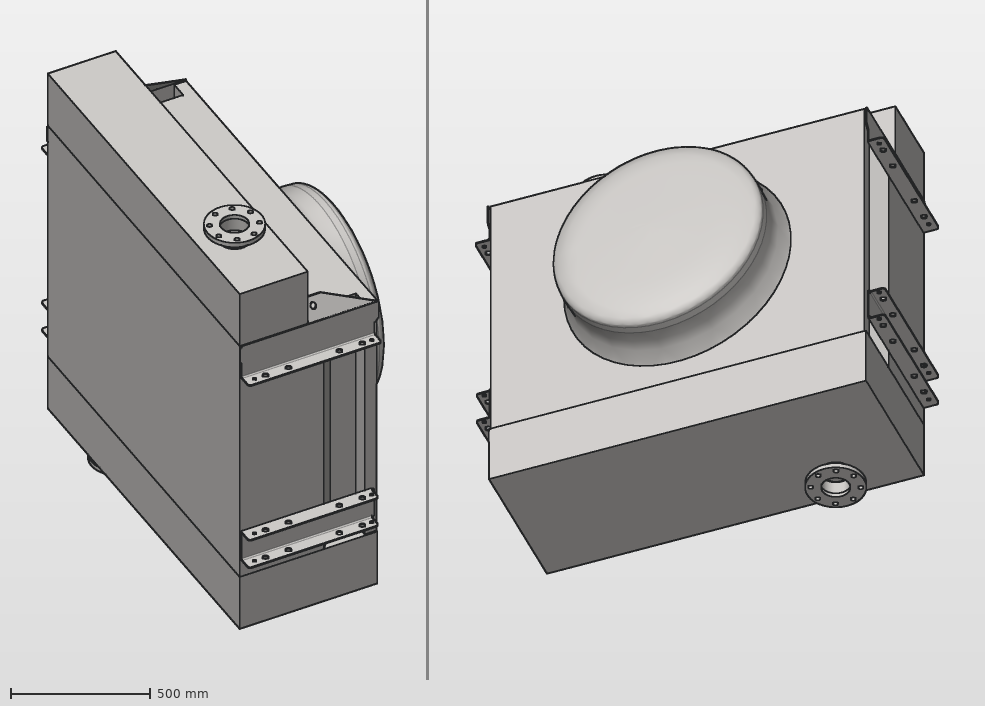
import cadquery as cq

total_height = 1670.0
body_width = 1458.0
body_depth = 561.0
middle_height = total_height / 2

pipe_length = 52.0
pipe_diameter = 112.0
bore_diameter = 105.0
pipe_offset = 441.0
pipe_depth = 134.0
flange_diameter = 220.0
flange_thickness = 20.0
bolt_circle = 180.0
bolt_hole = 18.0
bolt_count = 8

tank_height = 237.0
top_tank_depth = 277.0
tank_bottom = flange_thickness + pipe_length
core_bottom = tank_bottom + tank_height
core_top = total_height - core_bottom
core_height = core_top - core_bottom
half_width = body_width / 2

recess_start = 342.0
recess_slope_end = 407.0
recess_end = 513.0
recess_depth = 73.0
rear_inset = 7.0

cowl_base_radius = 440.0
cowl_neck = (412.0, 616.0)
cowl_band = (405.0, 715.0)
cowl_rim = (404.0, 743.0)
dome_edge = (380.0, 775.0)
dome_middle = (204.0, 815.0)
dome_top = 830.0

sheet = 5.0
bend_inner = 5.0
total_width = 1580.0
bracket_half_width = total_width / 2
bracket_front = 5.0
bracket_rear = 546.0
bracket_corner = 12.0
channel_bottom = 385.0
channel_height = 130.0
upper_bracket_bottom = 1215.0
hole_line = 763.0
large_hole = 22.0
small_hole = 13.0
large_hole_places = (87.0, 180.0, 387.0, 481.0)
small_hole_places = (42.0, 520.0)

ear_rise = 82.0
ear_lean = 50.0
ear_front = top_tank_depth + 2.0
ear_ridge_rear = 354.0
ear_corner = 17.0
ear_hole = 22.0
ear_hole_place = 314.0
ear_hole_rise = 50.0
wide_rear = 565.0
wide_drop = 73.0
front_chamfer = 10.0


def box(x_start, x_end, y_start, y_end, z_start, z_end):
    """Block between two limits along each axis."""
    size = (x_end - x_start, y_end - y_start, z_end - z_start)
    return cq.Workplane("XY").box(*size, centered=False).translate((x_start, y_start, z_start))


def add_connection(tank, x, tank_face, outward):
    """Add a flanged pipe to a tank face; outward is +1 for up and -1 for down."""
    face = cq.Workplane("XY", origin=(x, pipe_depth, tank_face))
    reach = outward * (pipe_length + flange_thickness)
    pipe = face.circle(pipe_diameter / 2).extrude(reach)
    flange = (
        face.workplane(offset=outward * pipe_length)
        .circle(flange_diameter / 2)
        .extrude(outward * flange_thickness)
    )
    bore = face.circle(bore_diameter / 2).extrude(reach)
    bolts = (
        face.polarArray(bolt_circle / 2, 180 / bolt_count, 360, bolt_count)
        .circle(bolt_hole / 2)
        .extrude(reach)
    )
    return tank.union(pipe).union(flange).cut(bore).cut(bolts)


def make_top_tank():
    tank = box(-half_width, half_width, 0, top_tank_depth, core_top, core_top + tank_height)
    return add_connection(tank, pipe_offset, core_top + tank_height, 1)


def make_bottom_tank():
    tank = box(-half_width, half_width, 0, body_depth, tank_bottom, core_bottom)
    return add_connection(tank, -pipe_offset, tank_bottom, -1)


def make_cowl():
    """Flared ring with a domed rear cover, turned about the fan axis."""
    outline = (
        cq.Workplane("XY")
        .moveTo(0, body_depth)
        .lineTo(0, dome_top)
        .spline([dome_middle, dome_edge, cowl_rim], tangents=[(1, 0), (0, -1)], includeCurrent=True)
        .lineTo(*cowl_band)
        .spline([cowl_neck, (cowl_base_radius, body_depth)], includeCurrent=True)
        .close()
    )
    return outline.revolve(360, (0, 0, 0), (0, 1, 0)).translate((0, 0, middle_height))


def make_core():
    """Core with recessed sides, its rear wall and the fan cowl."""
    recess_floor = half_width - recess_depth
    rear_half_width = half_width - rear_inset
    right_side = [
        (half_width, 0),
        (half_width, recess_start),
        (recess_floor, recess_slope_end),
        (recess_floor, recess_end),
        (rear_half_width, recess_end),
        (rear_half_width, body_depth),
    ]
    left_side = [(-x, y) for x, y in reversed(right_side)]
    core = (
        cq.Workplane("XY", origin=(0, 0, core_bottom))
        .polyline(right_side + left_side)
        .close()
        .extrude(core_height)
    )
    return core.union(make_cowl())


def make_shelf(bottom, rear):
    """Horizontal flange of a right-hand bracket, with its row of mounting holes."""
    shelf = box(half_width, bracket_half_width, bracket_front, rear, bottom, bottom + sheet)
    shelf = shelf.edges("|Z and >X").fillet(bracket_corner)
    for diameter, places in ((large_hole, large_hole_places), (small_hole, small_hole_places)):
        holes = (
            cq.Workplane("XY", origin=(0, 0, bottom))
            .pushPoints([(hole_line, y) for y in places])
            .circle(diameter / 2)
            .extrude(sheet)
        )
        shelf = shelf.cut(holes)
    return shelf


def round_bend(bracket, height):
    """Round the inside corner where a flange meets the web at the given height."""
    reach = bend_inner / 3
    corner = cq.selectors.BoxSelector(
        (half_width + sheet - reach, bracket_front - reach, height - reach),
        (half_width + sheet + reach, wide_rear + reach, height + reach),
    )
    return bracket.edges("|Y").edges(corner).fillet(bend_inner)


def make_lower_bracket():
    """Right-hand channel with an upright web and two flanges."""
    top = channel_bottom + channel_height
    web = box(half_width, half_width + sheet, bracket_front, bracket_rear, channel_bottom, top)
    web = web.edges("|X and >Y").fillet(bracket_corner)
    shelf_rear = bracket_rear - bracket_corner
    channel = web.union(make_shelf(channel_bottom, shelf_rear)).union(make_shelf(top - sheet, shelf_rear))
    channel = round_bend(channel, channel_bottom + sheet)
    return round_bend(channel, top - sheet)


def make_ear():
    """Leaning sheet above the core, trimmed to a tapered outline with a lifting hole."""
    ear_top = core_top + ear_rise
    leaning_sheet = (
        cq.Workplane("XZ")
        .polyline([
            (half_width, core_top),
            (half_width + sheet, core_top),
            (half_width + sheet - ear_lean, ear_top),
            (half_width - ear_lean, ear_top),
        ])
        .close()
        .extrude(-wide_rear)
    )
    side_plane = cq.Workplane("YZ")
    outline = (
        side_plane.moveTo(ear_front, core_top)
        .lineTo(body_depth, core_top)
        .lineTo(ear_ridge_rear, ear_top)
        .lineTo(ear_front + ear_corner, ear_top)
        .radiusArc((ear_front, ear_top - ear_corner), -ear_corner)
        .close()
        .extrude(bracket_half_width)
    )
    hole = (
        side_plane.center(ear_hole_place, core_top + ear_hole_rise)
        .circle(ear_hole / 2)
        .extrude(bracket_half_width)
    )
    return leaning_sheet.intersect(outline).cut(hole)


def make_upper_bracket():
    """Right-hand angle bracket with a lifting ear."""
    web = (
        cq.Workplane("YZ", origin=(half_width, 0, 0))
        .polyline([
            (bracket_front, upper_bracket_bottom),
            (bracket_rear, upper_bracket_bottom),
            (bracket_rear, core_top - wide_drop - (wide_rear - bracket_rear)),
            (wide_rear, core_top - wide_drop),
            (wide_rear, core_top),
            (front_chamfer, core_top),
            (0, core_top - front_chamfer),
            (0, core_top - wide_drop),
            (bracket_front, core_top - wide_drop - bracket_front),
        ])
        .close()
        .extrude(sheet)
    )
    bracket = web.union(make_shelf(upper_bracket_bottom, bracket_rear)).union(make_ear())
    return round_bend(bracket, upper_bracket_bottom + sheet)


bodies = [make_top_tank().val(), make_core().val(), make_bottom_tank().val()]
for make_bracket in (make_lower_bracket, make_upper_bracket):
    right_bracket = make_bracket()
    left_bracket = right_bracket.mirror("YZ")
    bodies += [right_bracket.val(), left_bracket.val()]

result = cq.Compound.makeCompound(bodies)